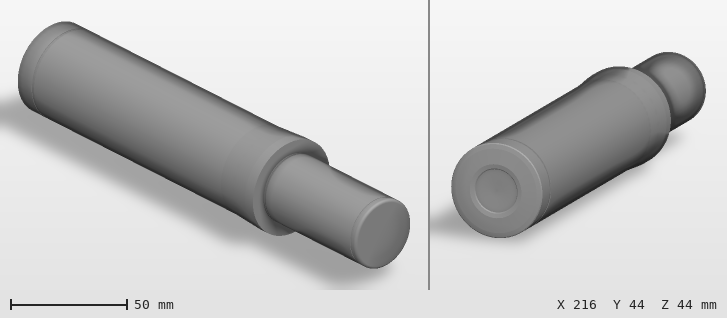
import cadquery as cq

total_length = 216.0
x_start = -total_length / 2
cylinder_length = 156.0

cylinder_radius = 42.0 / 2
collar_radius = 44.0 / 2
flare_start = 134.0
flare_end = 150.8
rim_depth = 1.0
rim_chamfer = 0.5
rim_inner_radius = 18.5
face_cone_depth = 0.6
groove_start = 10.5
groove_width = 1.5
groove_depth = 0.2

recess_mouth_radius = 11.9
recess_step_radius = 10.0
recess_floor_radius = 9.5
recess_chamfer_depth = 0.5
recess_floor_depth = 0.9
recess_apex_depth = 1.5

rod_radius = 32.0 / 2
rod_groove_radius = 31.5 / 2
neck_groove_offset = 0.6
neck_groove_width = 0.9
tip_groove_offset = 2.4
tip_groove_width = 1.3
tip_round = 1.3


def revolve_about_x(profile):
    """Turn a closed (x, radius) profile into a solid around the X axis."""
    return profile.close().revolve(360, (0, 0, 0), (1, 0, 0)).translate((x_start, 0, 0))


def make_cylinder():
    """Closed tube with a conical end face, a ring groove and a flared collar."""
    groove_floor = cylinder_radius - groove_depth
    groove_end = groove_start + groove_width
    profile = (
        cq.Workplane("XY")
        .moveTo(recess_apex_depth, 0)
        .lineTo(recess_floor_depth, recess_floor_radius)
        .lineTo(recess_chamfer_depth, recess_step_radius)
        .lineTo(0, recess_mouth_radius)
        .lineTo(face_cone_depth, rim_inner_radius)
        .lineTo(rim_depth, cylinder_radius - rim_chamfer)
        .lineTo(rim_depth + rim_chamfer, cylinder_radius)
        .lineTo(groove_start, cylinder_radius)
        .lineTo(groove_start, groove_floor)
        .lineTo(groove_end, groove_floor)
        .lineTo(groove_end, cylinder_radius)
        .lineTo(flare_start, cylinder_radius)
        .spline(
            [(flare_end, collar_radius)],
            tangents=[(1, 0), (1, 0)],
            includeCurrent=True,
        )
        .lineTo(cylinder_length, collar_radius)
        .lineTo(cylinder_length, 0)
    )
    return revolve_about_x(profile)


def make_rod():
    """Rod seated on the collar face, with a groove near each end and a rounded tip."""
    neck_start = cylinder_length + neck_groove_offset
    neck_end = neck_start + neck_groove_width
    tip_groove_end = total_length - tip_groove_offset
    tip_groove_start = tip_groove_end - tip_groove_width
    profile = (
        cq.Workplane("XY")
        .moveTo(cylinder_length, 0)
        .lineTo(cylinder_length, rod_radius)
        .lineTo(neck_start, rod_radius)
        .lineTo(neck_start, rod_groove_radius)
        .lineTo(neck_end, rod_groove_radius)
        .lineTo(neck_end, rod_radius)
        .lineTo(tip_groove_start, rod_radius)
        .lineTo(tip_groove_start, rod_groove_radius)
        .lineTo(tip_groove_end, rod_groove_radius)
        .lineTo(tip_groove_end, rod_radius)
        .lineTo(total_length - tip_round, rod_radius)
        .radiusArc((total_length, rod_radius - tip_round), tip_round)
        .lineTo(total_length, 0)
    )
    return revolve_about_x(profile)


cylinder = make_cylinder()
rod = make_rod()
result = cq.Compound.makeCompound([cylinder.val(), rod.val()])